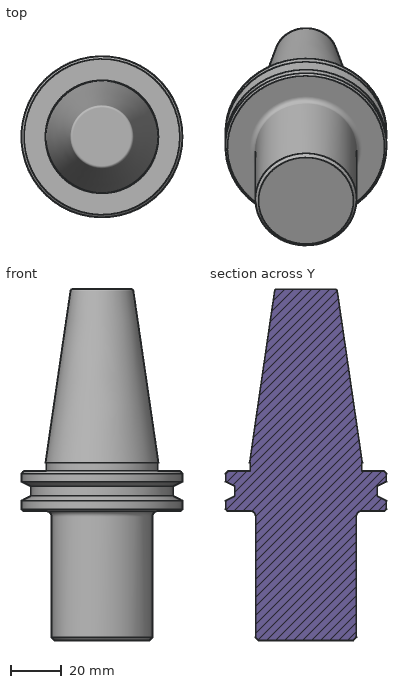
import cadquery as cq

total_height = 138.4
gauge_z = 70.0
flange_top_z = 66.8
flange_bottom_z = 51.0
groove_center_z = 58.8

taper_radius = 22.3
neck_radius = 22.0
flange_radius = 31.76
groove_radius = 28.1
shank_radius = 19.9

taper_slope = 7 / 24 / 2
tip_radius = taper_radius - taper_slope * (total_height - gauge_z)

groove_floor_width = 3.7
groove_mouth_width = 7.5

tip_fillet = 1.0
flange_top_chamfer = 1.1
flange_bottom_chamfer = 0.8
shank_chamfer = 1.2
shank_fillet = 2.1


def revolved_body():
    """Revolve the half section of shank, flange, neck and taper about Z."""
    half_floor = groove_floor_width / 2
    half_mouth = groove_mouth_width / 2
    profile = (
        cq.Workplane("XZ")
        .lineTo(shank_radius - shank_chamfer, 0)
        .lineTo(shank_radius, shank_chamfer)
        .lineTo(shank_radius, flange_bottom_z - shank_fillet)
        .radiusArc((shank_radius + shank_fillet, flange_bottom_z), shank_fillet)
        .lineTo(flange_radius - flange_bottom_chamfer, flange_bottom_z)
        .lineTo(flange_radius, flange_bottom_z + flange_bottom_chamfer)
        .lineTo(flange_radius, groove_center_z - half_mouth)
        .lineTo(groove_radius, groove_center_z - half_floor)
        .lineTo(groove_radius, groove_center_z + half_floor)
        .lineTo(flange_radius, groove_center_z + half_mouth)
        .lineTo(flange_radius, flange_top_z - flange_top_chamfer)
        .lineTo(flange_radius - flange_top_chamfer, flange_top_z)
        .lineTo(neck_radius, flange_top_z)
        .lineTo(neck_radius, gauge_z)
        .lineTo(taper_radius, gauge_z)
        .lineTo(tip_radius, total_height)
        .lineTo(0, total_height)
        .close()
    )
    return profile.revolve(360, (0, 0, 0), (0, 1, 0))


result = revolved_body().faces(">Z").edges().fillet(tip_fillet)